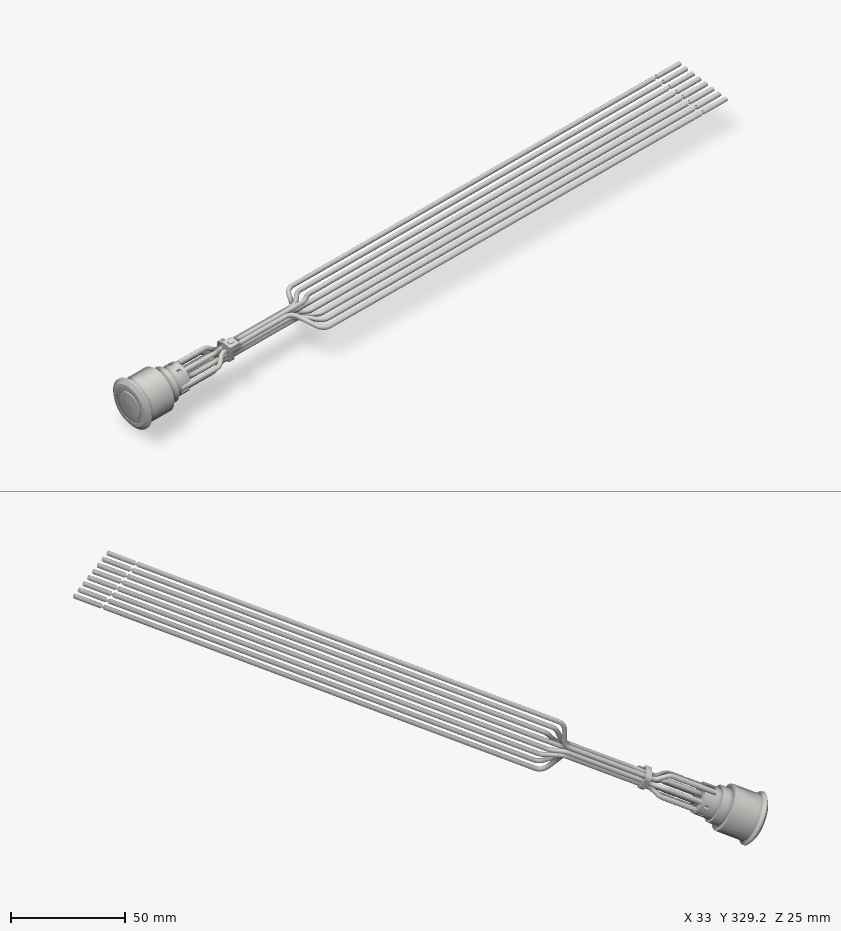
import cadquery as cq
import math

total_length = 329.2

rim_diameter = 25.0
rim_edge_front = 1.5
rim_edge_back = 2.2
rim_back = 3.2
front_face_diameter = 20.8
barrel_diameter = 22.0
barrel_back = 16.5
collar_diameter = 17.5
collar_back = 21.3
collar_groove_front = 17.4
collar_groove_back = 19.2
collar_groove_depth = 0.1
stem_diameter = 14.7
stem_back = 29.2

recess_diameter = 17.5
recess_depth = 0.4
button_hole_diameter = 13.75
button_gap_depth = 0.8
button_diameter = 13.3

sleeve_diameter = 2.4
sleeve_back = 36.6
cover_front = 38.1
cover_back = 44.4
inner_contact_x = 2.75
outer_contact_x = 6.4
contact_row_z = 5.0

side_slot_width = 4.8
side_slot_front = 24.0
side_slot_floor_x = 4.5
window_width = 1.6
window_front = 25.2
window_back = 27.4
window_floor_z = 5.6

wire_diameter = 2.2
conductor_diameter = 1.1
bare_length = 1.5
tip_length = 13.5
tail_pitch = 2 * wire_diameter
wires_left_of_axis = 3
tail_bend_radius = 5.0
contact_bend_radius = 4.0
contact_knee_y = 46.5
bundle_knee_y = 51.5
tip_front = total_length - tip_length
wire_back = tip_front - bare_length

bundle_pitch = wire_diameter + 0.1
left_column_x = -bundle_pitch * math.sqrt(3) / 2
left_column_z = bundle_pitch / 2

tie_y = 55.7
band_width = 2.6
band_thickness = 1.0
band_grip = 0.1
band_inner_half = bundle_pitch + wire_diameter / 2 - band_grip
band_outer_half = band_inner_half + band_thickness
band_corner_radius = 2.0
tie_head_length = 5.2
tie_head_x_min = 0.6
tie_head_x_max = 6.0
tie_head_height = 2.5
strap_end_width = 2.2
strap_end_height = 0.7

WIRES = [
    ((left_column_x, -left_column_z), (-outer_contact_x, 0), 105.6, 62),
    ((left_column_x, left_column_z), (-inner_contact_x, contact_row_z), 106.6, 45),
    ((0, bundle_pitch), (inner_contact_x, contact_row_z), 108.6, 40),
    ((0, 0), (-inner_contact_x, 0), 104.0, 0),
    ((0, -bundle_pitch), (-inner_contact_x, -contact_row_z), 102.6, 40),
    ((bundle_pitch, -bundle_pitch), (inner_contact_x, -contact_row_z), 104.6, 41),
    ((bundle_pitch, 0), (inner_contact_x, 0), 103.6, 51),
    ((bundle_pitch, bundle_pitch), (outer_contact_x, 0), 100.6, 70),
]


def rod(diameter, y_start, y_end, x=0, z=0):
    """Cylinder parallel to Y."""
    return cq.Workplane(
        cq.Solid.makeCylinder(
            diameter / 2, y_end - y_start, cq.Vector(x, y_start, z), cq.Vector(0, 1, 0)
        )
    )


def block(x_range, y_range, z_range):
    """Box between the given limits."""
    (x0, x1), (y0, y1), (z0, z1) = x_range, y_range, z_range
    corner = cq.Vector(x0, y0, z0)
    return cq.Workplane(cq.Solid.makeBox(x1 - x0, y1 - y0, z1 - z0, corner))


def ring_cut(outer_diameter, inner_diameter, y_start, y_end):
    return rod(outer_diameter, y_start, y_end).cut(rod(inner_diameter, y_start, y_end))


def make_rim():
    """Front rim, sloped toward the front face and toward the barrel."""
    half_section = [
        (0, 0),
        (front_face_diameter / 2, 0),
        (rim_diameter / 2, rim_edge_front),
        (rim_diameter / 2, rim_edge_back),
        (barrel_diameter / 2, rim_back),
        (0, rim_back),
    ]
    return cq.Workplane("XY").polyline(half_section).close().revolve(360, (0, 0), (0, 1))


def make_body():
    collar = rod(collar_diameter, barrel_back, collar_back)
    body = make_rim().union(rod(barrel_diameter, rim_back, barrel_back)).union(collar)
    body = body.union(rod(stem_diameter, collar_back, stem_back))
    groove_floor = collar_diameter - 2 * collar_groove_depth
    body = body.cut(
        ring_cut(collar_diameter, groove_floor, collar_groove_front, collar_groove_back)
    )
    body = body.cut(ring_cut(recess_diameter, button_hole_diameter, 0, recess_depth))
    return body.cut(ring_cut(button_hole_diameter, button_diameter, 0, button_gap_depth))


def cut_stem_openings(body):
    stem_radius = stem_diameter / 2
    slot_z = (-side_slot_width / 2, side_slot_width / 2)
    for side in (-1, 1):
        slot_x = sorted((side * side_slot_floor_x, side * stem_radius))
        body = body.cut(block(slot_x, (side_slot_front, stem_back), slot_z))
        window_z = sorted((side * window_floor_z, side * stem_radius))
        for x in (-inner_contact_x, inner_contact_x):
            window_x = (x - window_width / 2, x + window_width / 2)
            body = body.cut(block(window_x, (window_front, window_back), window_z))
    return body


def rounded_path(start, knees, end):
    """Path through the knees, each a (point, bend radius), with every knee rounded to an arc."""
    edges = []
    last = cq.Vector(*start)
    corners = [cq.Vector(*point) for point, _ in knees] + [cq.Vector(*end)]
    before = last
    for index, (_, radius) in enumerate(knees):
        knee = corners[index]
        incoming = (knee - before).normalized()
        outgoing = (corners[index + 1] - knee).normalized()
        turn = incoming.getAngle(outgoing)
        tangent = radius * math.tan(turn / 2)
        arc_start = knee - incoming * tangent
        arc_end = knee + outgoing * tangent
        inward = (outgoing - incoming).normalized()
        arc_middle = knee + inward * (radius / math.cos(turn / 2) - radius)
        edges.append(cq.Edge.makeLine(last, arc_start))
        edges.append(cq.Edge.makeThreePointArc(arc_start, arc_middle, arc_end))
        last = arc_end
        before = knee
    edges.append(cq.Edge.makeLine(last, corners[-1]))
    return cq.Wire.assembleEdges(edges)


def make_wire(tail_x, bundle, contact, tail_start_y, slant_degrees):
    """One insulated wire from its contact through the bundle to its tail."""
    bundle_x, bundle_z = bundle
    contact_x, contact_z = contact
    knees = [
        ((contact_x, contact_knee_y, contact_z), contact_bend_radius),
        ((bundle_x, bundle_knee_y, bundle_z), contact_bend_radius),
    ]
    offset = math.hypot(tail_x - bundle_x, bundle_z)
    if slant_degrees > 0:
        slant = math.radians(slant_degrees)
        tail_knee_y = tail_start_y - tail_bend_radius * math.tan(slant / 2)
        fan_knee_y = tail_knee_y - offset / math.tan(slant)
        knees.append(((bundle_x, fan_knee_y, bundle_z), tail_bend_radius))
        knees.append(((tail_x, tail_knee_y, 0), tail_bend_radius))
    start = (contact_x, sleeve_back, contact_z)
    path = rounded_path(start, knees, (tail_x, wire_back, 0))
    section = cq.Workplane(cq.Plane(start, (1, 0, 0), (0, 1, 0))).circle(wire_diameter / 2)
    return section.sweep(cq.Workplane(path))


def make_wire_ends(tail_x, contact):
    """Contact sleeve and cover at the front, bare conductor and tip at the tail."""
    contact_x, contact_z = contact
    return [
        rod(sleeve_diameter, side_slot_front, sleeve_back, contact_x, contact_z),
        rod(sleeve_diameter, cover_front, cover_back, contact_x, contact_z),
        rod(conductor_diameter, wire_back, tip_front, tail_x),
        rod(wire_diameter, tip_front, total_length, tail_x),
    ]


def make_cable_tie():
    band_y = (tie_y - band_width / 2, tie_y + band_width / 2)
    head_y = (tie_y - tie_head_length / 2, tie_y + tie_head_length / 2)
    outer = (-band_outer_half, band_outer_half)
    inner = (-band_inner_half, band_inner_half)
    band = block(outer, band_y, outer).edges("|Y").fillet(band_corner_radius)
    band = band.cut(block(inner, band_y, inner))
    head_x = (tie_head_x_min, tie_head_x_max)
    head_bottom = band_outer_half - band_thickness / 2
    head_top = band_outer_half + tie_head_height
    head = block(head_x, head_y, (head_bottom, head_top))
    head_middle_x = (tie_head_x_min + tie_head_x_max) / 2
    strap_x = (head_middle_x - strap_end_width / 2, head_middle_x + strap_end_width / 2)
    strap_end = block(strap_x, band_y, (head_top, head_top + strap_end_height))
    return band.union(head).union(strap_end)


part = cut_stem_openings(make_body())
for number, (bundle, contact, tail_start_y, slant_degrees) in enumerate(WIRES):
    tail_x = (number - wires_left_of_axis) * tail_pitch
    part = part.union(make_wire(tail_x, bundle, contact, tail_start_y, slant_degrees))
    for piece in make_wire_ends(tail_x, contact):
        part = part.union(piece)
result = part.union(make_cable_tie())